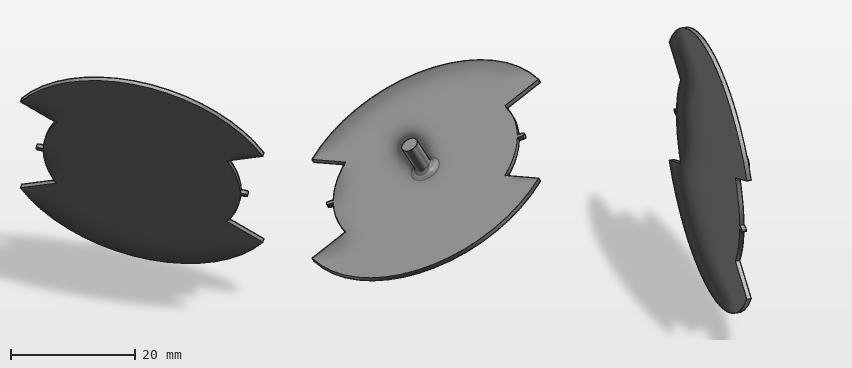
import cadquery as cq
import math

outer_diameter = 46.65
waist_diameter = 32.85
plate_thickness = 0.75
notch_half_angle = math.radians(30)

tab_tip_reach = 17.65
tab_width = 0.7

overall_depth = 6.6
stem_diameter = 2.8
stem_fillet = 1.1

outer_radius = outer_diameter / 2
waist_radius = waist_diameter / 2


def extrude_plate(sketch):
    """Extrude an XZ sketch from the front face (Y = 0) to the plate's back face."""
    return sketch.extrude(-plate_thickness)


def make_plate():
    def polar(radius, angle):
        return (radius * math.cos(angle), radius * math.sin(angle))

    upper_right = notch_half_angle
    upper_left = math.pi - notch_half_angle
    lower_left = math.pi + notch_half_angle
    lower_right = -notch_half_angle
    outline = (
        cq.Workplane("XZ")
        .moveTo(*polar(outer_radius, upper_right))
        .threePointArc((0, outer_radius), polar(outer_radius, upper_left))
        .lineTo(*polar(waist_radius, upper_left))
        .threePointArc((-waist_radius, 0), polar(waist_radius, lower_left))
        .lineTo(*polar(outer_radius, lower_left))
        .threePointArc((0, -outer_radius), polar(outer_radius, lower_right))
        .lineTo(*polar(waist_radius, lower_right))
        .threePointArc((waist_radius, 0), polar(waist_radius, upper_right))
        .close()
    )
    return extrude_plate(outline)


def make_tabs():
    """One bar across the plate, its two rounded ends standing out as tabs."""
    return extrude_plate(cq.Workplane("XZ").slot2D(2 * tab_tip_reach, tab_width))


def make_stem():
    """Revolve the stem about the Y axis, its root flared by a concave fillet."""
    radius = stem_diameter / 2
    fillet_end_y = plate_thickness + stem_fillet
    profile = (
        cq.Workplane("XY")
        .lineTo(radius + stem_fillet, 0)
        .lineTo(radius + stem_fillet, plate_thickness)
        .radiusArc((radius, fillet_end_y), stem_fillet)
        .lineTo(radius, overall_depth)
        .lineTo(0, overall_depth)
        .close()
    )
    return profile.revolve(360, (0, 0, 0), (0, 1, 0))


result = make_plate().union(make_tabs()).union(make_stem())